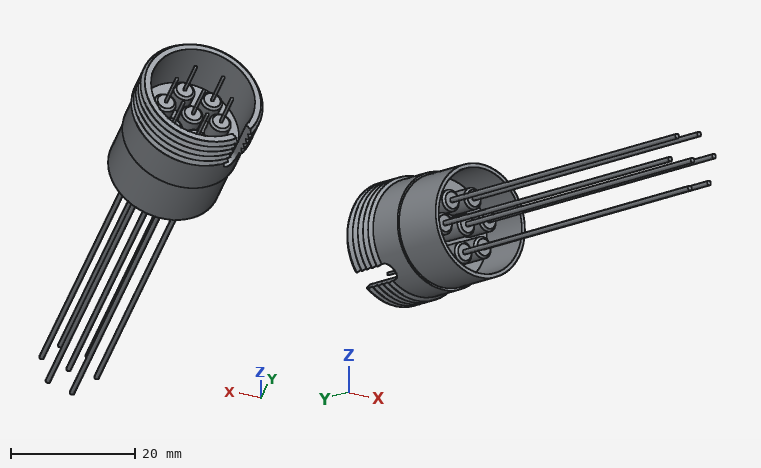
import cadquery as cq
import math


collar_radius = 9.8
collar_end = 12.6
barrel_radius = 9.45
shell_length = 21.7
bore_radius = 8.78
web_front = 9.0
web_back = 13.0

crest_radius = 10.32
ridge_count = 5
thread_pitch = 1.28
first_crest = 0.76

key_angle = 225.0
key_width = 3.3
key_length = 8.5

contact_circle_radius = 4.76
pair_half_angles = (38.0, 92.0, 152.0)
insulator_radius = 1.8
insulator_front = 5.55
insulator_back = 18.5
insulator_chamfer = 0.4
wire_radius = 0.4
pin_radius = 0.25
pin_fillet = 0.22
pin_protrusion = 0.72
overall_length = 75.44
wire_end = overall_length - pin_protrusion


def cylinder(radius, front, back, x=0.0, z=0.0):
    """Cylinder along Y between two distances behind the mating rim."""
    base = cq.Workplane("XZ", origin=(x, -front, z))
    return base.circle(radius).extrude(back - front)


def make_shell():
    half_pitch = thread_pitch / 2
    outline = [(0, 0), (collar_radius, 0)]
    for i in range(ridge_count):
        crest = first_crest + i * thread_pitch
        outline.append((collar_radius, -(crest - half_pitch)))
        outline.append((crest_radius, -crest))
    thread_end = first_crest + (ridge_count - 1) * thread_pitch + half_pitch
    outline += [
        (collar_radius, -thread_end),
        (collar_radius, -collar_end),
        (barrel_radius, -collar_end),
        (barrel_radius, -shell_length),
        (0, -shell_length),
    ]
    body = cq.Workplane("XY").polyline(outline).close().revolve(360, (0, 0, 0), (0, 1, 0))
    front_bore = cylinder(bore_radius, 0, web_front)
    back_bore = cylinder(bore_radius, web_back, shell_length)
    return body.cut(front_bore).cut(back_bore)


def make_keyway():
    """Round-ended slot pointing along +X, then turned to the key angle."""
    radius = key_width / 2
    round_centre = key_length - radius
    slot = (
        cq.Workplane("YZ", origin=(bore_radius / 2, 0, 0))
        .moveTo(0, -radius)
        .lineTo(-round_centre, -radius)
        .threePointArc((-key_length, 0), (-round_centre, radius))
        .lineTo(0, radius)
        .close()
        .extrude(collar_radius)
    )
    return slot.rotate((0, 0, 0), (0, 1, 0), -key_angle)


def contact_positions():
    positions = [(0.0, 0.0)]
    for half_angle in pair_half_angles:
        for side in (-1, 1):
            angle = math.radians(key_angle + side * half_angle)
            x = contact_circle_radius * math.cos(angle)
            z = contact_circle_radius * math.sin(angle)
            positions.append((x, z))
    return positions


def make_contact(x, z):
    insulator = cylinder(insulator_radius, insulator_front, insulator_back, x, z)
    insulator = insulator.faces("|Y").edges().chamfer(insulator_chamfer)
    wire = cylinder(wire_radius, web_back, wire_end, x, z)
    pin = cylinder(pin_radius, -pin_protrusion, web_back, x, z)
    pin = pin.faces(">Y").edges().fillet(pin_fillet)
    return insulator.union(wire).union(pin)


result = make_shell().cut(make_keyway())
for x, z in contact_positions():
    result = result.union(make_contact(x, z))